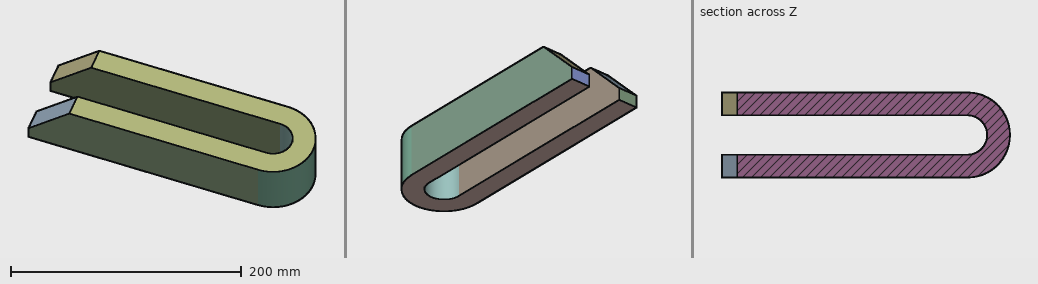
import cadquery as cq

length = 250.0
width = 74.0
height = 50.0
wall = 20.0
nose_height = 12.0

outer_radius = width / 2
slot_radius = outer_radius - wall
bend_x = length - outer_radius
bevel = height - nose_height


def round_ended_bar(radius):
    """Full-height bar from x = 0, ending in a half circle about bend_x."""
    return (
        cq.Workplane("XY")
        .moveTo(0, -radius)
        .lineTo(bend_x, -radius)
        .threePointArc((bend_x + radius, 0), (bend_x, radius))
        .lineTo(0, radius)
        .close()
        .extrude(height)
    )


def tip_bevel():
    """Wedge that slopes the top of both leg tips down to the nose."""
    return (
        cq.Workplane("XZ")
        .polyline([(0, nose_height), (bevel, height), (0, height)])
        .close()
        .extrude(outer_radius, both=True)
    )


result = round_ended_bar(outer_radius).cut(round_ended_bar(slot_radius)).cut(tip_bevel())